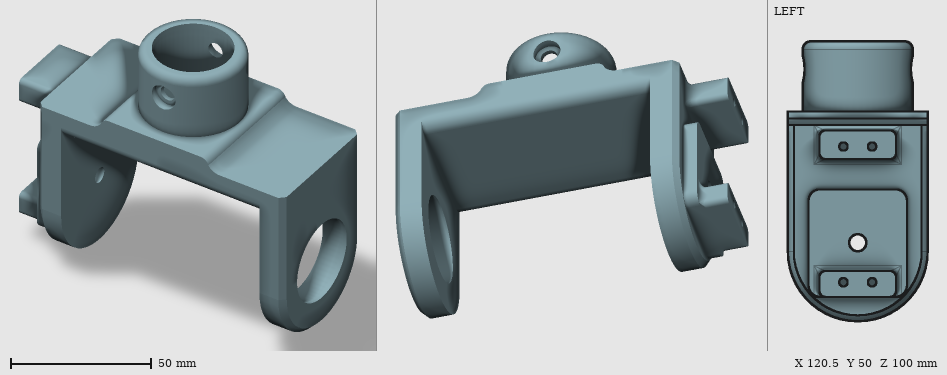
import cadquery as cq

OVERALL_LENGTH = 120.5
BODY_LENGTH = 105.2
WIDTH = 50.0
ARM_THICKNESS = 10.2
PLATE_TOP = 70.0
PLATE_UNDERSIDE = 60.0
UNDERSIDE_RADIUS = 4.0
OUTER_CHAMFER = 2.2
TIP_RADIUS = WIDTH / 2
LEFT_FACE = -BODY_LENGTH / 2
GAP_LENGTH = BODY_LENGTH - 2 * ARM_THICKNESS

SOCKET_X = -2.4
TOTAL_HEIGHT = 100.0
SOCKET_HEIGHT = 25.1
SOCKET_DIAMETER = 39.4
SOCKET_BORE = 29.5
SOCKET_RIM_RADIUS = 3.0
RIDGE_TOP = TOTAL_HEIGHT - SOCKET_HEIGHT
RIDGE_HALF_TOP = SOCKET_DIAMETER / 2
RIDGE_SHOULDER = 3.3
RIDGE_FOOT = 4.7

SCREW_DROP = 10.0
SCREW_HOLE = 6.0
SCREW_HEAD = 10.0
SCREW_HEAD_DEPTH = 3.3

PIVOT_Z = 28.1
PIVOT_HOLE = 6.0
BEARING_BORE = 32.2

PAD_THICKNESS = 5.1
PAD_WIDTH = 35.1
PAD_TOP = 47.1
PAD_BOTTOM = 8.8
PAD_RADIUS = 4.0

BLOCK_WIDTH = 27.2
BLOCK_EDGE_RADIUS = 1.9
FLARE_RADIUS = 1.9
UPPER_BLOCK_TOP = PLATE_TOP - FLARE_RADIUS
UPPER_BLOCK_BOTTOM = 58.0
LOWER_BLOCK_TOP = 18.0
BLOCK_HOLE = 3.0
BLOCK_HOLE_PITCH = 10.2
BLOCK_HOLE_DEPTH = 10.0
UPPER_HOLE_Z = 62.4
LOWER_HOLE_Z = 14.0
BLOCK_END = LEFT_FACE - (OVERALL_LENGTH - BODY_LENGTH)


def cylinder_x(diameter, x_start, length, y, z):
    """Cylinder running along +X from x_start."""
    return cq.Workplane(
        cq.Solid.makeCylinder(diameter / 2, length, cq.Vector(x_start, y, z), cq.Vector(1, 0, 0))
    )


def cylinder_y(diameter, y_start, length, x, z):
    """Cylinder running along +Y from y_start."""
    return cq.Workplane(
        cq.Solid.makeCylinder(diameter / 2, length, cq.Vector(x, y_start, z), cq.Vector(0, 1, 0))
    )


def fork_body():
    """Round-ended slab, chamfered at both ends and opened by a round-shouldered gap."""
    half = WIDTH / 2
    body = (
        cq.Workplane("YZ", origin=(LEFT_FACE, 0, 0))
        .moveTo(-half, PLATE_TOP)
        .lineTo(-half, TIP_RADIUS)
        .threePointArc((0, 0), (half, TIP_RADIUS))
        .lineTo(half, PLATE_TOP)
        .close()
        .extrude(BODY_LENGTH)
        .faces("<X or >X").edges("not >Z").chamfer(OUTER_CHAMFER)
    )
    gap = cq.Workplane("XY").box(GAP_LENGTH, WIDTH, PLATE_TOP, centered=(True, True, False))
    plate = (
        cq.Workplane("XY", origin=(0, 0, PLATE_UNDERSIDE))
        .box(GAP_LENGTH, WIDTH, PLATE_TOP - PLATE_UNDERSIDE, centered=(True, True, False))
        .edges("|X and <Z")
        .fillet(UNDERSIDE_RADIUS)
    )
    return body.cut(gap).union(plate)


def level_arc_radius(run, rise):
    """Radius of an arc that starts level and climbs `rise` over `run`."""
    return (run**2 + rise**2) / (2 * rise)


def ridge():
    """Raised band across the plate; each flank is a convex arc meeting a concave one at the knee."""
    half_rise = (RIDGE_TOP - PLATE_TOP) / 2
    knee_x = RIDGE_HALF_TOP + RIDGE_SHOULDER
    knee_z = PLATE_TOP + half_rise
    foot_x = knee_x + RIDGE_FOOT
    shoulder_radius = level_arc_radius(RIDGE_SHOULDER, half_rise)
    foot_radius = level_arc_radius(RIDGE_FOOT, half_rise)
    return (
        cq.Workplane("XZ", origin=(SOCKET_X, 0, 0))
        .moveTo(-foot_x, PLATE_TOP)
        .radiusArc((-knee_x, knee_z), -foot_radius)
        .radiusArc((-RIDGE_HALF_TOP, RIDGE_TOP), shoulder_radius)
        .lineTo(RIDGE_HALF_TOP, RIDGE_TOP)
        .radiusArc((knee_x, knee_z), shoulder_radius)
        .radiusArc((foot_x, PLATE_TOP), -foot_radius)
        .close()
        .extrude(WIDTH / 2, both=True)
    )


def socket():
    """Round-rimmed sleeve with a blind bore and a counterbored screw hole on either side."""
    sleeve = (
        cq.Workplane("XY", origin=(SOCKET_X, 0, RIDGE_TOP))
        .circle(SOCKET_DIAMETER / 2)
        .extrude(SOCKET_HEIGHT)
        .faces(">Z").edges().fillet(SOCKET_RIM_RADIUS)
        .faces(">Z").workplane()
        .hole(SOCKET_BORE, SOCKET_HEIGHT)
    )
    radius = SOCKET_DIAMETER / 2
    screw_z = TOTAL_HEIGHT - SCREW_DROP
    head_seat = radius - SCREW_HEAD_DEPTH
    sleeve = sleeve.cut(cylinder_y(SCREW_HOLE, -radius, 2 * radius, SOCKET_X, screw_z))
    for start in (-radius, head_seat):
        sleeve = sleeve.cut(cylinder_y(SCREW_HEAD, start, SCREW_HEAD_DEPTH, SOCKET_X, screw_z))
    return sleeve


def pad():
    """Rounded plate standing off the outer face of the left arm."""
    return (
        cq.Workplane("XY")
        .box(PAD_THICKNESS, PAD_WIDTH, PAD_TOP - PAD_BOTTOM)
        .edges("|X")
        .fillet(PAD_RADIUS)
        .translate((LEFT_FACE - PAD_THICKNESS / 2, 0, (PAD_TOP + PAD_BOTTOM) / 2))
    )


def flared_outline(plane, root, low, high):
    """Block outline along -X whose sides sweep outward in concave quarter arcs at the root."""
    arc_start = root - FLARE_RADIUS
    return (
        cq.Workplane(plane)
        .moveTo(BLOCK_END, low)
        .lineTo(BLOCK_END, high)
        .lineTo(arc_start, high)
        .radiusArc((root, high + FLARE_RADIUS), -FLARE_RADIUS)
        .lineTo(root, low - FLARE_RADIUS)
        .radiusArc((arc_start, low), -FLARE_RADIUS)
        .close()
    )


def mounting_block(root, bottom, top, hole_z):
    """Edge-rounded block on the face X = root, with a mitred flare and two blind end holes."""
    half = BLOCK_WIDTH / 2
    side = flared_outline("XZ", root, bottom, top).extrude(WIDTH / 2, both=True)
    plan = flared_outline("XY", root, -half, half).extrude(TOTAL_HEIGHT)
    block = side.intersect(plan)
    straight_edges = cq.selectors.BoxSelector(
        (BLOCK_END, -WIDTH, 0), (root - FLARE_RADIUS, WIDTH, PLATE_TOP)
    )
    block = block.edges("|X").edges(straight_edges).fillet(BLOCK_EDGE_RADIUS)
    for y in (-BLOCK_HOLE_PITCH / 2, BLOCK_HOLE_PITCH / 2):
        block = block.cut(cylinder_x(BLOCK_HOLE, BLOCK_END, BLOCK_HOLE_DEPTH, y, hole_z))
    return block


upper_block = mounting_block(LEFT_FACE, UPPER_BLOCK_BOTTOM, UPPER_BLOCK_TOP, UPPER_HOLE_Z)
lower_block = mounting_block(LEFT_FACE - PAD_THICKNESS, PAD_BOTTOM, LOWER_BLOCK_TOP, LOWER_HOLE_Z)
below_pad = (
    cq.Workplane("XY", origin=(LEFT_FACE, 0, 0))
    .box(OVERALL_LENGTH, WIDTH, PAD_BOTTOM, centered=(True, True, False))
)
lower_block = lower_block.cut(below_pad)

pivot_hole = cylinder_x(PIVOT_HOLE, BLOCK_END, -BLOCK_END, 0, PIVOT_Z)
bearing_bore = cylinder_x(BEARING_BORE, 0, BODY_LENGTH, 0, PIVOT_Z)

result = (
    fork_body()
    .union(ridge())
    .union(socket())
    .union(pad())
    .union(upper_block)
    .union(lower_block)
    .cut(pivot_hole)
    .cut(bearing_bore)
)